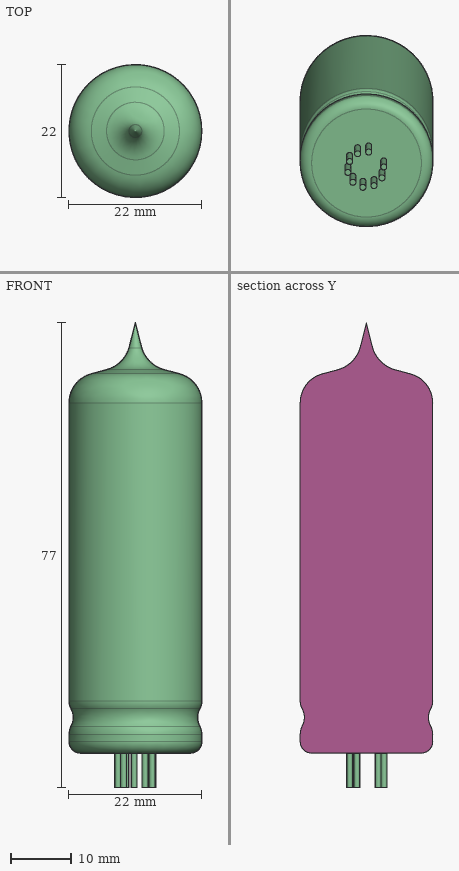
import cadquery as cq
import math

total_height = 77.0
body_radius = 22.0 / 2

base_bottom = 5.7
base_round = 1.9
base_land_top = 8.8
waist_arc_bottom = 10.2
waist_arc_top = 13.1
body_bottom = 14.3
shoulder_inset = 0.3
waist_depth = 0.7

body_top = 63.7
dome_radius = 5.0
dome_slope = math.radians(15)
flare_base_radius = 4.8
tip_base = 72.8
tip_base_radius = 1.1

pin_diameter = 1.0
pin_circle_radius = 3.0
pin_circle_y = -0.15
pin_count = 9
pin_pitch = 36.0
middle_pin_angle = -94.0
pin_embed = 0.8


def make_envelope():
    """Revolve the glass profile, drawn from the base up to the tip."""
    inset_radius = body_radius - shoulder_inset
    waist_radius = body_radius - waist_depth
    waist_middle = (waist_arc_bottom + waist_arc_top) / 2
    dome_end_radius = body_radius - dome_radius * (1 - math.sin(dome_slope))
    dome_end = body_top + dome_radius * math.cos(dome_slope)
    flare_base = dome_end + (dome_end_radius - flare_base_radius) * math.tan(dome_slope)

    profile = (
        cq.Workplane("XZ")
        .moveTo(0, base_bottom)
        .lineTo(body_radius - base_round, base_bottom)
        .tangentArcPoint((body_radius, base_bottom + base_round), relative=False)
        .lineTo(body_radius, base_land_top)
        .tangentArcPoint((inset_radius, waist_arc_bottom), relative=False)
        .threePointArc((waist_radius, waist_middle), (inset_radius, waist_arc_top))
        .tangentArcPoint((body_radius, body_bottom), relative=False)
        .lineTo(body_radius, body_top)
        .tangentArcPoint((dome_end_radius, dome_end), relative=False)
        .lineTo(flare_base_radius, flare_base)
        .tangentArcPoint((tip_base_radius, tip_base), relative=False)
        .lineTo(0, total_height)
        .close()
    )
    return profile.revolve(360, (0, 0, 0), (0, 1, 0))


def make_pins():
    """Make the straight pins, spread evenly either side of the middle pin."""
    first_angle = middle_pin_angle - pin_pitch * (pin_count - 1) / 2
    pin_centers = []
    for index in range(pin_count):
        angle = math.radians(first_angle + index * pin_pitch)
        pin_centers.append((pin_circle_radius * math.cos(angle), pin_circle_radius * math.sin(angle)))
    return (
        cq.Workplane("XY")
        .center(0, pin_circle_y)
        .pushPoints(pin_centers)
        .circle(pin_diameter / 2)
        .extrude(base_bottom + pin_embed)
    )


result = make_envelope().union(make_pins())